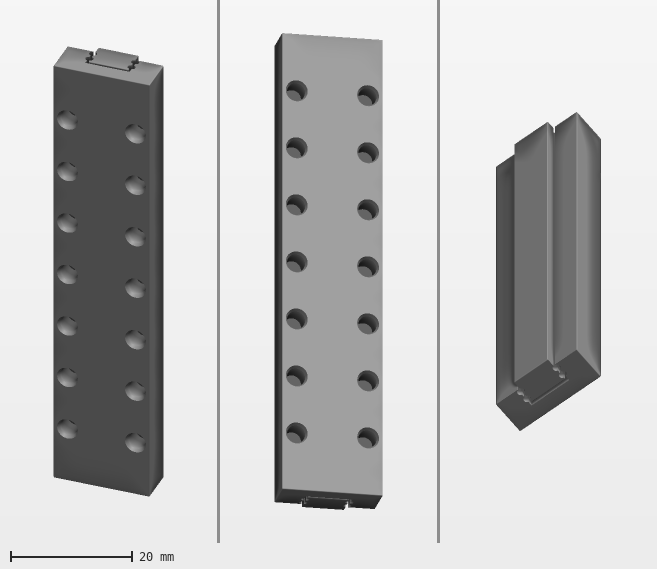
import cadquery as cq

LENGTH = 80.0
WIDTH = 17.0
HEIGHT = 8.0
BOTTOM_Y = -HEIGHT / 2
TOP_Y = HEIGHT / 2
EDGE_RADIUS = 0.2

HOUSING_HEIGHT = 6.5
HOUSING_TOP_Y = BOTTOM_Y + HOUSING_HEIGHT
CHANNEL_WIDTH = 7.8
CHANNEL_FLOOR_Y = -1.3

RAIL_WIDTH = 7.0
RAIL_BOTTOM_Y = -0.8

GROOVE_CENTRES_Y = (0.2, 1.8)
GROOVE_MOUTH = 1.1
GROOVE_DEPTH = 0.5

HOLE_ROWS = 7
HOLE_PITCH = 10.0
HOLE_SPACING_X = 12.0
HOLE_DIAMETER = 3.0
HOLE_DEPTH = 4.0
MOUTH_DIAMETER = 3.7
MOUTH_DEPTH = 0.6


def box(width, bottom_y, top_y):
    """Full-length bar centred on X = 0 and Z = 0."""
    return cq.Workplane("XY").box(width, top_y - bottom_y, LENGTH).translate((0, (bottom_y + top_y) / 2, 0))


def groove(wall_x, centre_y, direction):
    """Full-length round-bottomed groove cutting from a wall at wall_x along +X or -X."""
    floor_x = wall_x + direction * GROOVE_DEPTH
    return (
        cq.Workplane("XY", origin=(0, 0, -LENGTH / 2))
        .moveTo(wall_x, centre_y - GROOVE_MOUTH / 2)
        .threePointArc((floor_x, centre_y), (wall_x, centre_y + GROOVE_MOUTH / 2))
        .close()
        .extrude(LENGTH)
    )


def mounting_hole(x, z):
    """Blind hole with a tapered mouth, entering the housing back along +Y."""
    back = cq.Workplane("XZ", origin=(x, BOTTOM_Y, z))
    mouth = back.circle(MOUTH_DIAMETER / 2).workplane(offset=-MOUTH_DEPTH).circle(HOLE_DIAMETER / 2).loft()
    return back.circle(HOLE_DIAMETER / 2).extrude(-HOLE_DEPTH).union(mouth)


def make_housing():
    """Housing with rounded outer edges, except the end edges of its open +Y side."""
    body = box(WIDTH, BOTTOM_Y, HOUSING_TOP_Y)
    body = body.edges("|Z or |Y or <Y").fillet(EDGE_RADIUS)
    body = body.cut(box(CHANNEL_WIDTH, CHANNEL_FLOOR_Y, HOUSING_TOP_Y))
    for side in (-1, 1):
        for y in GROOVE_CENTRES_Y:
            body = body.cut(groove(side * CHANNEL_WIDTH / 2, y, side))
        for row in range(HOLE_ROWS):
            z = (row - (HOLE_ROWS - 1) / 2) * HOLE_PITCH
            body = body.cut(mounting_hole(side * HOLE_SPACING_X / 2, z))
    return body


def make_rail():
    """Grooved rail with rounded edges, except those along Y at its two ends."""
    body = box(RAIL_WIDTH, RAIL_BOTTOM_Y, TOP_Y).edges("|Z or |X").fillet(EDGE_RADIUS)
    for side in (-1, 1):
        for y in GROOVE_CENTRES_Y:
            body = body.cut(groove(side * RAIL_WIDTH / 2, y, -side))
    return body


housing = make_housing()
rail = make_rail()
result = cq.Compound.makeCompound([housing.val(), rail.val()])